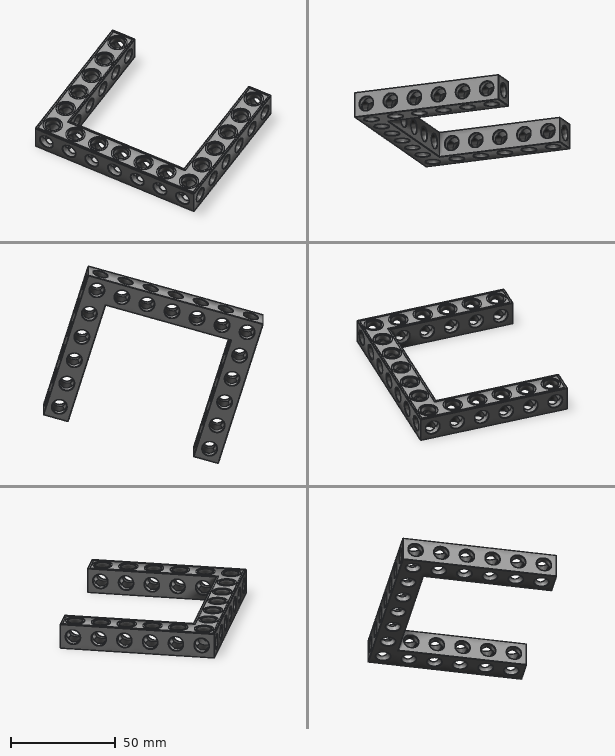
import cadquery as cq

length_x = 87.5
holes_x = 7
holes_y = 6
edge_chamfer = 0.3
bore_diameter = 7.0
mouth_chamfer = 0.3
ring_diameter = 9.2
rim_width = 1.05
recess_depth = 0.2

pitch = length_x / holes_x
length_y = holes_y * pitch
half_pitch = pitch / 2

stations_x = [half_pitch + i * pitch for i in range(holes_x)]
stations_y = [half_pitch + i * pitch for i in range(holes_y)]
leg_centers_x = [stations_x[0], stations_x[-1]]
hole_centers = [(x, half_pitch) for x in stations_x]
hole_centers += [(x, y) for x in leg_centers_x for y in stations_y[1:]]


def u_prism(inset, height):
    """U-shaped prism, open toward +Y, with all its walls moved inward by inset."""
    gap_left = pitch - inset
    gap_right = length_x - gap_left
    return (
        cq.Workplane("XY")
        .moveTo(inset, inset)
        .lineTo(length_x - inset, inset)
        .lineTo(length_x - inset, length_y - inset)
        .lineTo(gap_right, length_y - inset)
        .lineTo(gap_right, gap_left)
        .lineTo(gap_left, gap_left)
        .lineTo(gap_left, length_y - inset)
        .lineTo(inset, length_y - inset)
        .close()
        .extrude(height)
    )


def top_recess():
    """Shallow recess inside the top rim, leaving a raised ring around each hole."""
    recess = u_prism(rim_width, recess_depth)
    rings = cq.Workplane("XY").pushPoints(hole_centers).circle(ring_diameter / 2)
    rings = rings.extrude(recess_depth)
    return recess.cut(rings).translate((0, 0, pitch - recess_depth))


def hole_cutter(start, direction, length):
    """Bore from start along direction, chamfered at both mouths."""
    bore_radius = bore_diameter / 2
    mouth_radius = bore_radius + mouth_chamfer
    end = start + direction * length
    bore = cq.Solid.makeCylinder(bore_radius, length, start, direction)
    for mouth, inward in ((start, direction), (end, -direction)):
        bore = bore.fuse(cq.Solid.makeCone(mouth_radius, bore_radius, mouth_chamfer, mouth, inward))
    return bore


def hole_cutters():
    """Cutters for every hole along X, Y and Z."""
    x_axis = cq.Vector(1, 0, 0)
    y_axis = cq.Vector(0, 1, 0)
    z_axis = cq.Vector(0, 0, 1)
    cutters = [hole_cutter(cq.Vector(x, y, 0), z_axis, pitch) for x, y in hole_centers]

    for x in stations_x:
        length = length_y if x in leg_centers_x else pitch
        cutters.append(hole_cutter(cq.Vector(x, 0, half_pitch), y_axis, length))

    cutters.append(hole_cutter(cq.Vector(0, half_pitch, half_pitch), x_axis, length_x))
    for leg_side in (0, length_x - pitch):
        for y in stations_y[1:]:
            cutters.append(hole_cutter(cq.Vector(leg_side, y, half_pitch), x_axis, pitch))
    return cutters


def frame_body():
    """Square-bar frame, chamfered along every edge except the two concave ones."""
    body = u_prism(0, pitch)
    convex_edges = cq.StringSyntaxSelector("|X or |Y or |Z")
    for corner_x in (pitch, length_x - pitch):
        convex_edges -= cq.NearestToPointSelector((corner_x, pitch, half_pitch))
    return body.edges(convex_edges).chamfer(edge_chamfer)


result = frame_body().cut(top_recess())
for cutter in hole_cutters():
    result = result.cut(cq.Workplane(cutter))